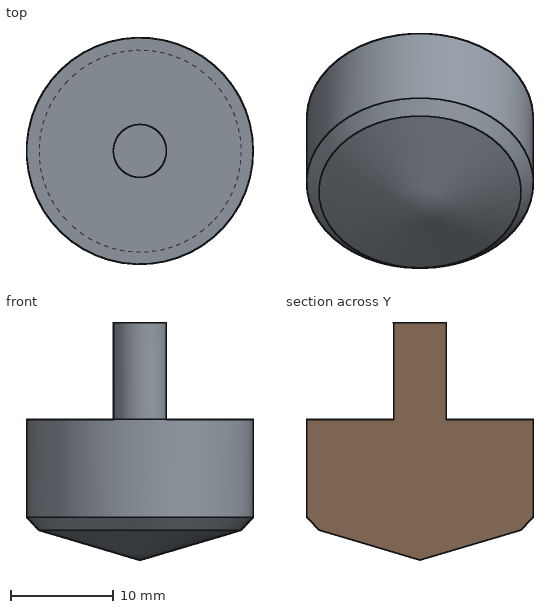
import cadquery as cq

total_height = 23.3
body_diameter = 22.23
stem_diameter = 5.2
stem_length = 9.48
cone_height = 2.94
bevel_height = 1.28
bevel_width = 1.2

body_radius = body_diameter / 2
stem_radius = stem_diameter / 2
cone_radius = body_radius - bevel_width
bevel_top = cone_height + bevel_height
body_top = total_height - stem_length

profile = (
    cq.Workplane("XZ")
    .moveTo(0, 0)
    .lineTo(cone_radius, cone_height)
    .lineTo(body_radius, bevel_top)
    .lineTo(body_radius, body_top)
    .lineTo(stem_radius, body_top)
    .lineTo(stem_radius, total_height)
    .lineTo(0, total_height)
    .close()
)

result = profile.revolve(360, (0, 0, 0), (0, 1, 0))